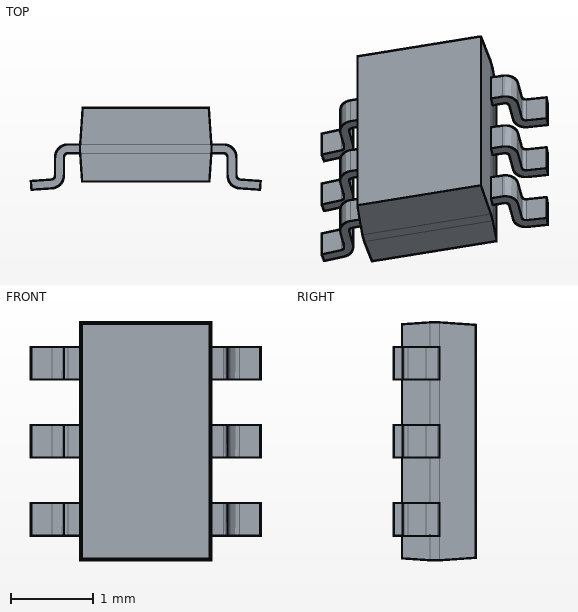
import cadquery as cq
import math


housing_width = 1.6
housing_length = 2.9
housing_back = 1.0
standoff = 0.1
draft_angle = 4.0

lead_span = 2.8
lead_thickness = 0.11
lead_width = 0.4
lead_pitch = 0.95
leads_per_side = 3
lead_outer_face = 1.105
inner_bend_radius = 0.05
foot_angle = 4.0

band_center = 0.5
band_back = band_center + lead_thickness / 2
band_front = band_center - lead_thickness / 2


def make_housing():
    """Straight middle band with a drafted block on each side of it."""
    band = (
        cq.Workplane("XZ", origin=(0, band_back, 0))
        .rect(housing_width, housing_length)
        .extrude(lead_thickness)
    )
    front_block = (
        cq.Workplane("XZ", origin=(0, band_front, 0))
        .rect(housing_width, housing_length)
        .extrude(band_front - standoff, taper=draft_angle)
    )
    back_block = (
        cq.Workplane("ZX", origin=(0, band_back, 0))
        .rect(housing_length, housing_width)
        .extrude(housing_back - band_back, taper=draft_angle)
    )
    return band.union(front_block, clean=False).union(back_block, clean=False)


def make_lead():
    """Gull-wing lead on the +X side, centred on Z = 0 and ending at the housing face."""
    outer_bend_radius = inner_bend_radius + lead_thickness
    tilt = math.radians(foot_angle)
    root_x = housing_width / 2
    lead_inner_face = lead_outer_face - lead_thickness

    shoulder_x = lead_outer_face - outer_bend_radius
    shoulder_y = band_back - outer_bend_radius

    toe_upper = (lead_span / 2, lead_thickness * math.cos(tilt))
    toe_lower = (lead_span / 2 - lead_thickness * math.sin(tilt), 0)

    ankle_x = lead_inner_face + outer_bend_radius
    sole_start_x = ankle_x - outer_bend_radius * math.sin(tilt)
    sole_start_y = (toe_lower[0] - sole_start_x) * math.tan(tilt)
    ankle_y = sole_start_y + outer_bend_radius * math.cos(tilt)

    def shoulder_point(radius, angle):
        return (shoulder_x + radius * math.cos(angle), shoulder_y + radius * math.sin(angle))

    def ankle_point(radius, angle):
        return (ankle_x + radius * math.cos(angle), ankle_y + radius * math.sin(angle))

    shoulder_middle = math.pi / 4
    ankle_end = 1.5 * math.pi - tilt
    ankle_middle = (math.pi + ankle_end) / 2

    profile = (
        cq.Workplane("XY", origin=(0, 0, -lead_width / 2))
        .moveTo(root_x, band_back)
        .lineTo(shoulder_x, band_back)
        .threePointArc(
            shoulder_point(outer_bend_radius, shoulder_middle),
            (lead_outer_face, shoulder_y),
        )
        .lineTo(lead_outer_face, ankle_y)
        .threePointArc(
            ankle_point(inner_bend_radius, ankle_middle),
            ankle_point(inner_bend_radius, ankle_end),
        )
        .lineTo(*toe_upper)
        .lineTo(*toe_lower)
        .lineTo(sole_start_x, sole_start_y)
        .threePointArc(
            ankle_point(outer_bend_radius, ankle_middle),
            (lead_inner_face, ankle_y),
        )
        .lineTo(lead_inner_face, shoulder_y)
        .threePointArc(
            shoulder_point(inner_bend_radius, shoulder_middle),
            (shoulder_x, band_front),
        )
        .lineTo(root_x, band_front)
        .close()
    )
    return profile.extrude(lead_width)


housing = make_housing()

right_lead = make_lead()
left_lead = right_lead.mirror("YZ")
leads = []
for index in range(leads_per_side):
    lead_z = (index - (leads_per_side - 1) / 2) * lead_pitch
    for side_lead in (left_lead, right_lead):
        leads.append(side_lead.translate((0, 0, lead_z)))

result = cq.Compound.makeCompound([housing.solids().val(), *[lead.val() for lead in leads]])